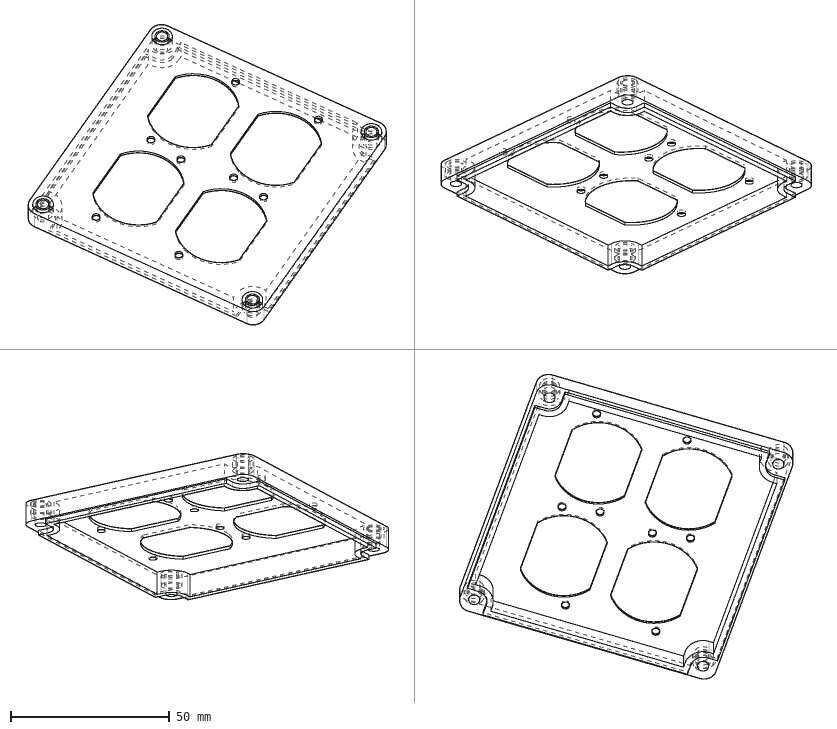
import cadquery as cq

plate_size = 85.0
total_height = 8.5
lip_height = 1.5
corner_radius = 4.0

lip_inset = 1.0
lip_thickness = 2.0
top_thickness = 1.0

screw_inset = 4.5
screw_diameter = 3.5
collar_diameter = 4.5
groove_diameter = 6.5
groove_depth = 4.0
notch_radius = 4.0

opening_pitch_x = 30.0
opening_pitch_y = 35.0
opening_diameter = 29.05
opening_width = 23.1
mount_hole_diameter = 2.5
mount_offset_x = 6.0
mount_offset_y = 16.5

lip_size = plate_size - 2 * lip_inset
cavity_size = lip_size - 2 * lip_thickness
cavity_height = total_height - top_thickness
screw_pitch = plate_size - 2 * screw_inset
boss_radius = notch_radius + lip_thickness


def corner_blocks(radius, height):
    """Square blocks centred on the plate corners, rounded about the screw axes on the inner side."""
    reach = screw_inset + radius
    block_size = 2 * reach
    return (
        cq.Workplane("XY")
        .rect(plate_size, plate_size, forConstruction=True)
        .vertices()
        .rect(block_size, block_size)
        .extrude(height)
        .edges("|Z")
        .fillet(radius)
    )


def make_body():
    """Rounded upper slab standing on a square lip with notched corners."""
    slab = (
        cq.Workplane("XY")
        .workplane(offset=lip_height)
        .rect(plate_size, plate_size)
        .extrude(total_height - lip_height)
        .edges("|Z")
        .fillet(corner_radius)
    )
    lip = cq.Workplane("XY").rect(lip_size, lip_size).extrude(lip_height)
    lip = lip.cut(corner_blocks(notch_radius, lip_height))
    return slab.union(lip)


def make_cavity():
    """Space open to the underside, leaving the wall, the corner bosses and the top."""
    cavity = cq.Workplane("XY").rect(cavity_size, cavity_size).extrude(cavity_height)
    return cavity.cut(corner_blocks(boss_radius, cavity_height))


def screw_cylinders(diameter, depth):
    """Cylinders on the four corner screw axes, sunk from the top face."""
    return (
        cq.Workplane("XY")
        .workplane(offset=total_height)
        .rect(screw_pitch, screw_pitch, forConstruction=True)
        .vertices()
        .circle(diameter / 2)
        .extrude(-depth)
    )


def make_collar_grooves():
    """Ring grooves that leave a thin collar, flush with the top, around each screw hole."""
    return screw_cylinders(groove_diameter, groove_depth).cut(screw_cylinders(collar_diameter, groove_depth))


def make_connector_cutout():
    """Round opening with two flat sides, and its two diagonal mounting holes."""
    opening = cq.Workplane("XY").circle(opening_diameter / 2).extrude(total_height)
    flats = cq.Workplane("XY").rect(opening_width, opening_diameter).extrude(total_height)
    mount_holes = (
        cq.Workplane("XY")
        .pushPoints([(mount_offset_x, mount_offset_y), (-mount_offset_x, -mount_offset_y)])
        .circle(mount_hole_diameter / 2)
        .extrude(total_height)
    )
    return opening.intersect(flats).union(mount_holes)


result = make_body().cut(make_cavity())
result = result.cut(screw_cylinders(screw_diameter, total_height))
result = result.cut(make_collar_grooves())

connector_cutout = make_connector_cutout()
for side_x in (-1, 1):
    for side_y in (-1, 1):
        position = (side_x * opening_pitch_x / 2, side_y * opening_pitch_y / 2, 0)
        result = result.cut(connector_cutout.translate(position))